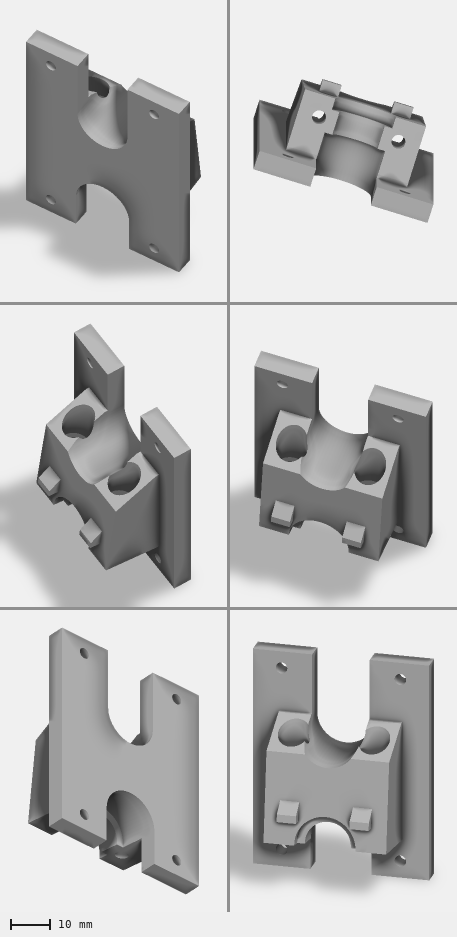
import cadquery as cq
import math

PLATE_WIDTH = 46.0
PLATE_HEIGHT = 58.2
PLATE_THICKNESS = 5.0
MOUNT_HOLE_DIAMETER = 3.0
MOUNT_HOLE_X = 15.5
MOUNT_HOLE_EDGE = 4.5

TILT_SLOPE = 1 / 8
BLOCK_WIDTH = 32.0
PAD_THICKNESS = 1.0
PAD_BACK_Y = PLATE_THICKNESS + PAD_THICKNESS
PAD_BOTTOM_Z = 10.4
PAD_TOP_Z = 42.2
REAR_FACE_LENGTH = 24.0
REAR_CORNER_Y = 20.985
REAR_CORNER_Z = 12.37

TOP_SLOT_DIAMETER = 15.0
TOP_SLOT_CENTER_Z = 40.7

BORE_DIAMETER = 16.0
BORE_CENTER_RISE = 0.25
LIP_DIAMETER = 12.0
LIP_REAR_DEPTH = 3.0
LIP_FRONT_DEPTH = 9.0

SCREW_HOLE_X = 10.5
SCREW_HOLE_DEPTH = 5.75
SCREW_CLEARANCE_DIAMETER = 3.5
SCREW_STEP_DIAMETER = 5.0
SCREW_STEP_FLOOR = 13.0
SCREW_HEAD_DIAMETER = 8.0
SCREW_HEAD_FLOOR = 18.0

HOOK_INNER_X = 7.0
HOOK_WIDTH = 5.0
HOOK_BOTTOM = 6.5
HOOK_ROOT_HEIGHT = 5.0
HOOK_TIP_HEIGHT = 2.0
HOOK_REACH = 3.0

CUT_LENGTH = 60.0
OVERLAP = 1.0

tilt = math.atan(TILT_SLOPE)


def tilted(outward, upward):
    """(Y, Z) of a point measured from the lower rear corner, square to and along the rear face."""
    y = REAR_CORNER_Y + outward * math.cos(tilt) - upward * math.sin(tilt)
    z = REAR_CORNER_Z + outward * math.sin(tilt) + upward * math.cos(tilt)
    return y, z


def prism(points, x_start, width):
    """Solid with the given (Y, Z) outline, running along +X."""
    return cq.Workplane("YZ", origin=(x_start, 0, 0)).polyline(points).close().extrude(width)


def tilted_cylinder(x, outward, upward, direction, diameter, length):
    """Cylinder that starts at a point of the tilted frame and runs along a (Y, Z) direction."""
    y, z = tilted(outward, upward)
    return cq.Workplane(
        cq.Solid.makeCylinder(diameter / 2, length, cq.Vector(x, y, z), cq.Vector(0, *direction))
    )


def plate():
    return cq.Workplane().box(
        PLATE_WIDTH, PLATE_THICKNESS, PLATE_HEIGHT, centered=(True, False, False)
    )


def block():
    outline = [
        (PLATE_THICKNESS - OVERLAP, PAD_BOTTOM_Z),
        (PAD_BACK_Y, PAD_BOTTOM_Z),
        tilted(0, 0),
        tilted(0, REAR_FACE_LENGTH),
        (PAD_BACK_Y, PAD_TOP_Z),
        (PLATE_THICKNESS - OVERLAP, PAD_TOP_Z),
    ]
    return prism(outline, -BLOCK_WIDTH / 2, BLOCK_WIDTH)


def hook(x_start):
    outline = [
        tilted(-OVERLAP, HOOK_BOTTOM),
        tilted(HOOK_REACH, HOOK_BOTTOM),
        tilted(HOOK_REACH, HOOK_BOTTOM + HOOK_TIP_HEIGHT),
        tilted(0, HOOK_BOTTOM + HOOK_ROOT_HEIGHT),
        tilted(-OVERLAP, HOOK_BOTTOM + HOOK_ROOT_HEIGHT),
    ]
    return prism(outline, x_start, HOOK_WIDTH)


def mount_holes():
    return (
        cq.Workplane("XZ", origin=(0, 0, PLATE_HEIGHT / 2))
        .rect(2 * MOUNT_HOLE_X, PLATE_HEIGHT - 2 * MOUNT_HOLE_EDGE, forConstruction=True)
        .vertices()
        .circle(MOUNT_HOLE_DIAMETER / 2)
        .extrude(-PLATE_THICKNESS)
    )


def top_slot():
    radius = TOP_SLOT_DIAMETER / 2
    return (
        cq.Workplane("XZ")
        .moveTo(-radius, PLATE_HEIGHT)
        .lineTo(-radius, TOP_SLOT_CENTER_Z)
        .threePointArc((0, TOP_SLOT_CENTER_Z - radius), (radius, TOP_SLOT_CENTER_Z))
        .lineTo(radius, PLATE_HEIGHT)
        .close()
        .extrude(-CUT_LENGTH)
    )


def bottom_bore():
    forward = (-math.cos(tilt), -math.sin(tilt))
    rear = tilted_cylinder(0, OVERLAP, BORE_CENTER_RISE, forward, BORE_DIAMETER, OVERLAP + LIP_REAR_DEPTH)
    lip = tilted_cylinder(0, OVERLAP, BORE_CENTER_RISE, forward, LIP_DIAMETER, CUT_LENGTH)
    front = tilted_cylinder(0, -LIP_FRONT_DEPTH, BORE_CENTER_RISE, forward, BORE_DIAMETER, CUT_LENGTH)
    plate_opening = cq.Workplane().box(
        BORE_DIAMETER, PLATE_THICKNESS, PAD_BOTTOM_Z, centered=(True, False, False)
    )
    return rear.union(lip).union(front).union(plate_opening)


def screw_hole(x):
    upward = (-math.sin(tilt), math.cos(tilt))
    steps = [
        (SCREW_CLEARANCE_DIAMETER, -OVERLAP),
        (SCREW_STEP_DIAMETER, SCREW_STEP_FLOOR),
        (SCREW_HEAD_DIAMETER, SCREW_HEAD_FLOOR),
    ]
    hole = cq.Workplane()
    for diameter, floor in steps:
        step = tilted_cylinder(x, -SCREW_HOLE_DEPTH, floor, upward, diameter, CUT_LENGTH)
        hole = hole.add(step)
    return hole.combine()


result = plate().union(block())
for hook_x in (HOOK_INNER_X, -HOOK_INNER_X - HOOK_WIDTH):
    result = result.union(hook(hook_x))
result = result.cut(mount_holes()).cut(top_slot()).cut(bottom_bore())
for hole_x in (-SCREW_HOLE_X, SCREW_HOLE_X):
    result = result.cut(screw_hole(hole_x))